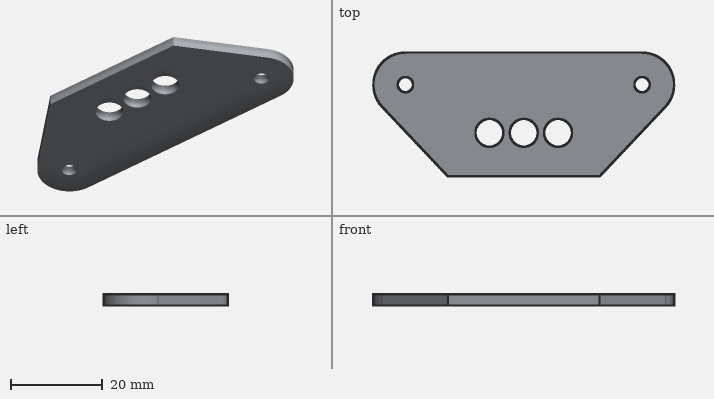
import cadquery as cq
import math

length = 65.6
width = 27.0
thickness = 2.5

ear_radius = 7.0
bottom_edge_length = 33.05

ear_hole_diameter = 3.3
row_hole_diameter = 6.05
row_hole_count = 3
row_hole_pitch = 7.5
row_offset = 10.5

ear_x = length / 2 - ear_radius
top_y = width / 2
bottom_y = -width / 2
ear_y = top_y - ear_radius
corner_x = bottom_edge_length / 2

corner_distance = math.hypot(corner_x - ear_x, bottom_y - ear_y)
corner_direction = math.atan2(bottom_y - ear_y, corner_x - ear_x)
tangent_angle = corner_direction + math.acos(ear_radius / corner_distance)


def ear_point(angle):
    """Point on the right ear's arc at the given angle."""
    return (ear_x + ear_radius * math.cos(angle), ear_y + ear_radius * math.sin(angle))


def mirrored(point):
    """Same point on the left half of the plate."""
    return (-point[0], point[1])


tangent_point = ear_point(tangent_angle)
outer_point = ear_point(0)
top_point = (ear_x, top_y)

plate = (
    cq.Workplane("XY")
    .moveTo(-corner_x, bottom_y)
    .lineTo(corner_x, bottom_y)
    .lineTo(*tangent_point)
    .threePointArc(outer_point, top_point)
    .lineTo(*mirrored(top_point))
    .threePointArc(mirrored(outer_point), mirrored(tangent_point))
    .close()
    .extrude(thickness)
)


def drill(body, centers, diameter):
    """Cut through holes at the given centers."""
    holes = cq.Workplane("XY").pushPoints(centers).circle(diameter / 2).extrude(thickness)
    return body.cut(holes)


row_start_x = -row_hole_pitch * (row_hole_count - 1) / 2
row_centers = [
    (row_start_x + index * row_hole_pitch, ear_y - row_offset)
    for index in range(row_hole_count)
]

plate = drill(plate, [(-ear_x, ear_y), (ear_x, ear_y)], ear_hole_diameter)
result = drill(plate, row_centers, row_hole_diameter)